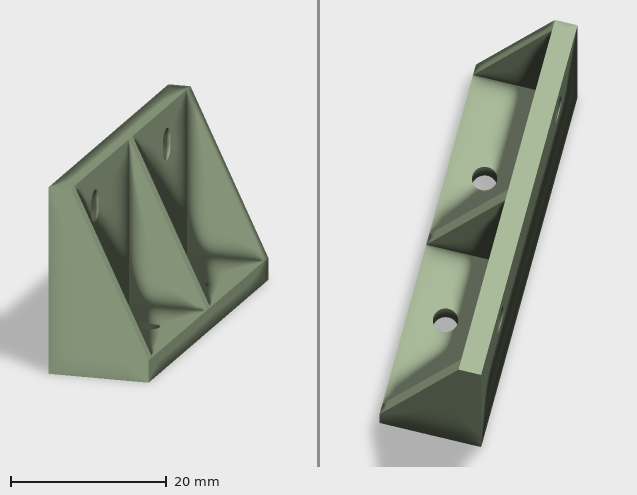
import cadquery as cq

depth = 13.5
length = 50.0
height = 25.0

plate_thickness = 3.0
rib_thickness = 1.5

hole_diameter = 3.25
hole_x = 8.5
hole_spacing = 20.25
hole_center_y = 0.15

slot_width = hole_diameter
slot_height = 4.25
slot_spacing = 30.0
slot_drop = 5.0


def angle_section():
    """L-shaped wall and base, centred on Y, with the outer corner at X = Z = 0."""
    return (
        cq.Workplane("XZ")
        .moveTo(0, 0)
        .lineTo(depth, 0)
        .lineTo(depth, plate_thickness)
        .lineTo(plate_thickness, plate_thickness)
        .lineTo(plate_thickness, height)
        .lineTo(0, height)
        .close()
        .extrude(length / 2, both=True)
    )


def rib(center_y):
    """Triangular gusset from the wall's top edge to the base's free edge."""
    return (
        cq.Workplane("XZ", origin=(0, center_y, 0))
        .moveTo(plate_thickness, plate_thickness)
        .lineTo(depth, plate_thickness)
        .lineTo(plate_thickness, height)
        .close()
        .extrude(rib_thickness / 2, both=True)
    )


def base_holes():
    return (
        cq.Workplane("XY")
        .center(hole_x, hole_center_y)
        .rarray(0.5, hole_spacing, 1, 2)
        .circle(hole_diameter / 2)
        .extrude(plate_thickness)
    )


def wall_slots():
    return (
        cq.Workplane("YZ")
        .center(0, height - slot_drop)
        .rarray(slot_spacing, 0.5, 2, 1)
        .slot2D(slot_height, slot_width, 90)
        .extrude(plate_thickness)
    )


bracket = angle_section()
end_rib_y = (length - rib_thickness) / 2
for rib_y in (-end_rib_y, 0, end_rib_y):
    bracket = bracket.union(rib(rib_y))

result = bracket.cut(base_holes()).cut(wall_slots())